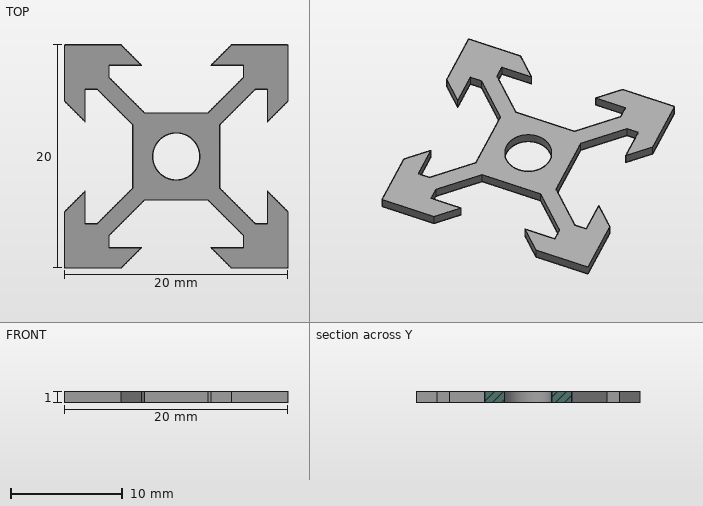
import cadquery as cq
import math

profile_width = 20.0
thickness = 1.0
corner_radius = 0.1

flange_thickness = 1.85
slot_mouth_width = 6.2
slot_inner_width = 12.0

web_thickness = 1.5
core_width = 7.8
bore_diameter = 4.2


def make_plate():
    """Square blank with the full outer size and slightly rounded corners."""
    blank = cq.Workplane("XY").rect(profile_width, profile_width).extrude(thickness)
    return blank.edges("|Z").fillet(corner_radius)


def make_slot_cutter():
    """T-slot opening through the +Y side, with a 45 degree flared mouth."""
    outer_y = profile_width / 2
    flange_y = outer_y - flange_thickness
    core_y = core_width / 2
    throat_x = slot_mouth_width / 2
    mouth_x = throat_x + flange_thickness
    pocket_x = slot_inner_width / 2
    web_offset = web_thickness / 2 * math.sqrt(2)
    right_side = [
        (mouth_x, outer_y),
        (throat_x, flange_y),
        (pocket_x, flange_y),
        (pocket_x, pocket_x + web_offset),
        (core_y - web_offset, core_y),
    ]
    left_side = [(-x, y) for x, y in reversed(right_side)]
    return cq.Workplane("XY").polyline(right_side + left_side).close().extrude(thickness)


def cut_slots(plate):
    """Cut the same slot into all four sides."""
    slot = make_slot_cutter()
    side_count = 4
    for side in range(side_count):
        plate = plate.cut(slot.rotate((0, 0, 0), (0, 0, 1), side * 360 / side_count))
    return plate


def cut_bore(plate):
    """Central through hole."""
    return plate.faces(">Z").workplane(origin=(0, 0, thickness)).hole(bore_diameter)


result = cut_bore(cut_slots(make_plate()))